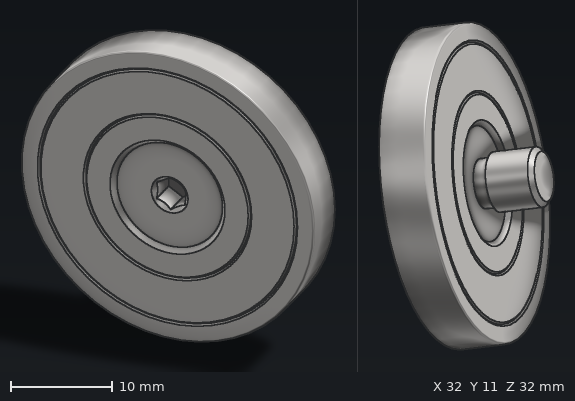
import cadquery as cq
import math


wheel_diameter = 32.0
wheel_width = 5.0
rim_fillet = 0.25
bore_diameter = 11.52
bore_chamfer = 0.5
outer_groove_diameter = 28.0
inner_groove_diameter = 18.0
groove_depth = 0.2

overall_length = 11.0
stud_diameter = 6.0
stud_chamfer = 0.5
neck_diameter = 5.0
neck_length = 1.0
socket_across_flats = 3.07
socket_entry_diameter = 4.0
socket_depth = 3.0

front_face = -wheel_width / 2
back_face = wheel_width / 2
stud_start = back_face + neck_length
stud_end = front_face + overall_length
pin_face = front_face + bore_chamfer


def revolve_about_y(points):
    """Revolve a closed outline of (radius, y) points about the Y axis."""
    return cq.Workplane("XY").polyline(points).close().revolve(360, (0, 0, 0), (0, 1, 0))


def v_groove(diameter, face, inward):
    """Ring that cuts a V into a wheel face; inward is the Y direction into the wheel."""
    radius = diameter / 2
    return revolve_about_y([
        (radius - groove_depth, face),
        (radius, face + inward * groove_depth),
        (radius + groove_depth, face),
    ])


def make_wheel():
    """Ring with a rounded rim, a chamfered bore and two V grooves in each face."""
    rim = wheel_diameter / 2
    bore = bore_diameter / 2
    wheel = revolve_about_y([
        (bore + bore_chamfer, front_face),
        (rim, front_face),
        (rim, back_face),
        (bore + bore_chamfer, back_face),
        (bore, back_face - bore_chamfer),
        (bore, front_face + bore_chamfer),
    ])
    rim_edges = cq.selectors.RadiusNthSelector(-1)
    wheel = wheel.edges("%CIRCLE").edges(rim_edges).fillet(rim_fillet)
    for diameter in (outer_groove_diameter, inner_groove_diameter):
        wheel = wheel.cut(v_groove(diameter, front_face, 1))
        wheel = wheel.cut(v_groove(diameter, back_face, -1))
    return wheel


def make_socket():
    """Hexagonal socket with corners up and down, and its 45 degree conical entry."""
    across_corners = socket_across_flats / math.cos(math.pi / 6)
    entry_radius = socket_entry_diameter / 2
    hexagon = (
        cq.Workplane("XZ", origin=(0, pin_face, 0))
        .transformed(rotate=(0, 0, 90))
        .polygon(6, across_corners)
        .extrude(-socket_depth)
    )
    entry = revolve_about_y([
        (0, pin_face),
        (entry_radius, pin_face),
        (0, pin_face + entry_radius),
    ])
    return hexagon.union(entry)


def make_pin():
    """Plug that fills the wheel bore, with a necked stud behind it and a hex socket in front."""
    plug = bore_diameter / 2
    plug_end = back_face - bore_chamfer
    neck = neck_diameter / 2
    stud = stud_diameter / 2
    body = revolve_about_y([
        (0, pin_face),
        (plug, pin_face),
        (plug, plug_end),
        (neck, plug_end),
        (neck, stud_start),
        (stud, stud_start),
        (stud, stud_end - stud_chamfer),
        (stud - stud_chamfer, stud_end),
        (0, stud_end),
    ])
    return body.cut(make_socket())


wheel = make_wheel()
pin = make_pin()
result = cq.Compound.makeCompound([wheel.val(), pin.val()])